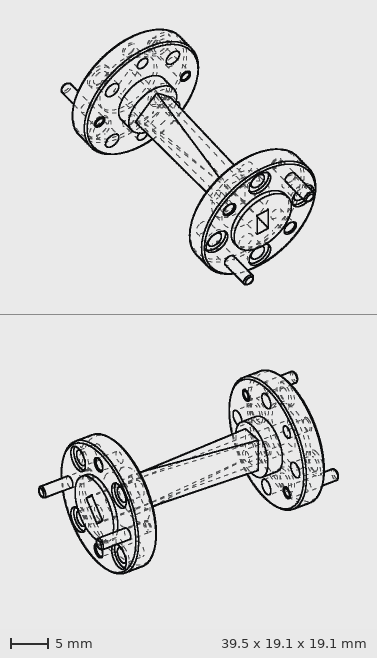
import cadquery as cq
import math

overall_length = 39.5
boss_face_x = 15.85
flange_front_x = 15.15
flange_back_x = 11.85
neck_end_x = 9.5

flange_diameter = 19.05
flange_chamfer = 0.28
boss_diameter = 9.55
neck_diameter = 7.98

bore_width = 3.75
bore_height = 1.9
wall = 0.65
tube_width = bore_width + 2 * wall
tube_height = bore_height + 2 * wall
start_angle = 45.0
twist_angle = 45.0

bolt_circle_radius = 7.15
screw_hole_diameter = 2.2
counterbore_diameter = 3.6
counterbore_depth = 0.47
dowel_hole_diameter = 1.75
dowel_hole_chamfer = 0.15
pin_diameter = 1.65
pin_chamfer = 0.2

dowel_mouth_diameter = dowel_hole_diameter + 2 * dowel_hole_chamfer

screw_angles = (45, 135, 225, 315)
dowel_angles = (90, 270)
pin_angles = (0, 180)


def bolt_circle_points(angles):
    """Points (y, z) on the bolt circle at the given angles."""
    return [
        (
            bolt_circle_radius * math.cos(math.radians(angle)),
            bolt_circle_radius * math.sin(math.radians(angle)),
        )
        for angle in angles
    ]


def cylinders_along_x(x_start, x_end, diameter, points=((0, 0),)):
    """Cylinders parallel to X, centred on the given (y, z) points."""
    return (
        cq.Workplane("YZ", origin=(x_start, 0, 0))
        .pushPoints(points)
        .circle(diameter / 2)
        .extrude(x_end - x_start)
    )


def place_at_plus_x(body):
    """Mirror a body from the -X end to the +X end and turn it by the twist of the waveguide."""
    return body.mirror("YZ").rotate((0, 0, 0), (1, 0, 0), twist_angle)


def make_dowel_chamfers():
    """Cones that open the mouths of the dowel holes at the front of the -X flange."""
    return (
        cq.Workplane("YZ", origin=(-flange_front_x, 0, 0))
        .pushPoints(bolt_circle_points(dowel_angles))
        .circle(dowel_mouth_diameter / 2)
        .extrude(dowel_mouth_diameter / 2, taper=45)
    )


def make_flange():
    """The -X flange with its raised boss, neck and holes, without the waveguide bore."""
    flange = cylinders_along_x(-flange_front_x, -flange_back_x, flange_diameter)
    flange = flange.edges("%CIRCLE").chamfer(flange_chamfer)
    flange = flange.union(cylinders_along_x(-boss_face_x, -flange_back_x, boss_diameter))
    flange = flange.union(cylinders_along_x(-flange_back_x, -neck_end_x, neck_diameter))

    screw_points = bolt_circle_points(screw_angles)
    counterbore_floor_x = -flange_front_x + counterbore_depth
    holes = [
        cylinders_along_x(-flange_front_x, -flange_back_x, screw_hole_diameter, screw_points),
        cylinders_along_x(-flange_front_x, counterbore_floor_x, counterbore_diameter, screw_points),
        cylinders_along_x(
            -flange_front_x, -flange_back_x, dowel_hole_diameter, bolt_circle_points(dowel_angles)
        ),
        make_dowel_chamfers(),
        cylinders_along_x(-flange_front_x, -flange_back_x, pin_diameter, bolt_circle_points(pin_angles)),
    ]
    for hole in holes:
        flange = flange.cut(hole)
    return flange


def rectangle_wire(x, width, height, angle):
    """A rectangle across X whose wide side points at the given angle."""
    half_width = width / 2
    half_height = height / 2
    cosine = math.cos(math.radians(angle))
    sine = math.sin(math.radians(angle))
    corners = [
        (half_width, half_height),
        (-half_width, half_height),
        (-half_width, -half_height),
        (half_width, -half_height),
    ]
    points = [cq.Vector(x, u * cosine - v * sine, u * sine + v * cosine) for u, v in corners]
    return cq.Wire.makePolygon(points, close=True)


def twisted_bar(width, height):
    """A rectangular bar between the necks, with straight ruled edges from end to end."""
    start = rectangle_wire(-neck_end_x, width, height, start_angle)
    end = rectangle_wire(neck_end_x, width, height, start_angle + twist_angle)
    return cq.Workplane(cq.Solid.makeLoft([start, end], True))


def make_end_bore():
    """The straight part of the bore, through the -X flange and its neck."""
    return (
        cq.Workplane("YZ", origin=(-boss_face_x, 0, 0))
        .transformed(rotate=(0, 0, start_angle))
        .rect(bore_width, bore_height)
        .extrude(boss_face_x - neck_end_x)
    )


def make_waveguide():
    """The twisted tube and both flanges, as one solid with a bore from face to face."""
    flange = make_flange().cut(make_end_bore())
    tube = twisted_bar(tube_width, tube_height).cut(twisted_bar(bore_width, bore_height))
    return tube.union(flange).union(place_at_plus_x(flange))


def make_pin(y, z):
    """A pin of the -X flange, chamfered at both ends and flush with the back of the flange."""
    pin = cylinders_along_x(-overall_length / 2, -flange_back_x, pin_diameter, [(y, z)])
    return pin.edges("%CIRCLE").chamfer(pin_chamfer)


waveguide = make_waveguide()
pins = []
for pin_y, pin_z in bolt_circle_points(pin_angles):
    pin = make_pin(pin_y, pin_z)
    pins.append(pin.val())
    pins.append(place_at_plus_x(pin).val())

result = cq.Compound.makeCompound([waveguide.val(), *pins])